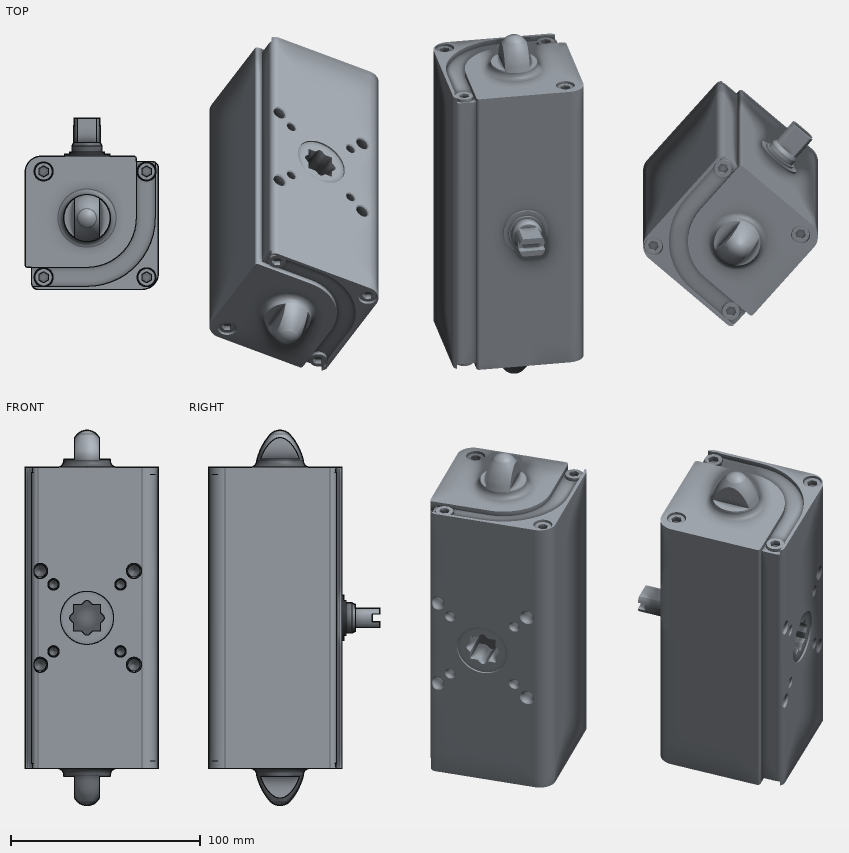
import cadquery as cq
import math

BODY_LENGTH = 159.0
BODY_WIDTH = 70.4
OVERALL_LENGTH = 198.0
SHAFT_PROTRUSION = 20.0
MAIN_REACH = 32.7
ARC_RADIUS = 26.0
GROOVE_RADIUS = 36.0
GROOVE_DEPTH = 2.8
FLANGE_INSET_X = 3.4
FLANGE_INSET_Y = 2.8
CORNER_RADIUS = 8.7
FLANGE_CORNER = 3.5
MAIN_CORNER = 1.4

HALF_LENGTH = BODY_LENGTH / 2
FLANGE_REACH = BODY_WIDTH - MAIN_REACH

SCREW_X = (-22.9, 31.4)
SCREW_Y = (-31.2, 24.6)
POCKET_DIAMETER = 10.0
POCKET_DEPTH = 4.0
HEAD_DIAMETER = 9.2
HEAD_DROP = 1.2
HEX_FLATS = 5.0
HEX_DEPTH = 3.0

DOME_FLARE_RADIUS = 15.3
DOME_RADIUS = 12.4
FLARE_HEIGHT = 3.4
FLARE_ARC = 3.2
FLAT_FLOOR = 4.2
FLAT_HALF_WIDTH = 6.6
DOME_HEIGHT = (OVERALL_LENGTH - BODY_LENGTH) / 2
CAP_RADIUS = 5.0
CAP_HEIGHT = 2.0
DOME_SIDE_POINT = (8.8, 12.3)

MOUNT_PATTERNS = [
    (50.0, 4.92, 6.0, 10.0),
    (70.0, 6.65, 8.0, 12.0),
]
DRILL_POINT_ANGLE = 118.0

JOURNAL_DIAMETER = 28.0
JOURNAL_RECESS = 1.0
COLLAR_DIAMETER = 24.0
COLLAR_HEIGHT = 1.0
COLLAR_DEPTH = 6.0
SHOULDER_DIAMETER = 18.4
SHOULDER_TOP = 2.1
NECK_DIAMETER = 16.0
NECK_TOP = 5.2
NECK_CONE_TOP = 7.1
STUB_DIAMETER = 14.2
STUB_FLATS = 10.2
SLOT_WIDTH = 4.0
SLOT_DEPTH = 4.0
STAR_SQUARE = 14.0
STAR_TIP_RADIUS = 1.8
STAR_DEPTH = 16.0

JOURNAL_TOP = MAIN_REACH - COLLAR_DEPTH


def prism(x_min, x_max, y_min, y_max):
    """Box over the full body length, centred on Z."""
    return (
        cq.Workplane("XY", origin=(0, 0, -HALF_LENGTH))
        .moveTo((x_min + x_max) / 2, (y_min + y_max) / 2)
        .rect(x_max - x_min, y_max - y_min)
        .extrude(BODY_LENGTH)
    )


def rounded_main():
    """Square main block on the -X and +Y sides, with rounded long edges."""
    main = prism(-MAIN_REACH, ARC_RADIUS, -ARC_RADIUS, MAIN_REACH)
    main = main.edges("|Z").edges("<(1,-1,0)").fillet(CORNER_RADIUS)
    for corner in ("<(1,1,0)", ">(1,1,0)"):
        main = main.edges("|Z").edges(corner).fillet(MAIN_CORNER)
    return main


def rounded_flange():
    """Offset block on the +X and -Y sides, with rounded long edges."""
    flange = prism(
        FLANGE_INSET_X - MAIN_REACH,
        FLANGE_REACH,
        -FLANGE_REACH,
        MAIN_REACH - FLANGE_INSET_Y,
    )
    flange = flange.edges("|Z").edges(">(1,-1,0)").fillet(CORNER_RADIUS)
    for corner in ("<(1,1,0)", ">(1,1,0)"):
        flange = flange.edges("|Z").edges(corner).fillet(FLANGE_CORNER)
    return flange


def quarter_block(radius, height):
    """Block open to -X and +Y whose +X/-Y corner is an arc about the piston axis."""
    far = BODY_WIDTH
    return (
        cq.Workplane("XY")
        .moveTo(-far, far)
        .lineTo(radius, far)
        .lineTo(radius, 0)
        .radiusArc((0, -radius), radius)
        .lineTo(-far, -radius)
        .close()
        .extrude(height)
    )


def end_groove():
    """Groove in the +Z end face, between the raised face and the flange rim."""
    groove = quarter_block(GROOVE_RADIUS, GROOVE_DEPTH).cut(quarter_block(ARC_RADIUS, GROOVE_DEPTH))
    return groove.translate((0, 0, HALF_LENGTH - GROOVE_DEPTH))


def screw_places(height):
    """Workplane at a Z height with a point on each of the four screw axes."""
    points = [(x, y) for x in SCREW_X for y in SCREW_Y]
    return cq.Workplane("XY", origin=(0, 0, height)).pushPoints(points)


def dome():
    """Dome on the +Z end face with a flared foot and two side flats."""
    cap_base = DOME_HEIGHT - CAP_HEIGHT
    cap_sphere = (CAP_RADIUS**2 + CAP_HEIGHT**2) / (2 * CAP_HEIGHT)
    profile = (
        cq.Workplane("XZ")
        .lineTo(DOME_FLARE_RADIUS, 0)
        .radiusArc((DOME_RADIUS, FLARE_HEIGHT), FLARE_ARC)
        .threePointArc(DOME_SIDE_POINT, (CAP_RADIUS, cap_base))
        .radiusArc((0, DOME_HEIGHT), -cap_sphere)
        .close()
    )
    solid = profile.revolve(360, (0, 0), (0, 1))
    for side in (-1, 1):
        flat = cq.Workplane("XY").box(
            DOME_RADIUS, 2 * DOME_RADIUS, DOME_HEIGHT, centered=(True, True, False)
        )
        solid = solid.cut(flat.translate((side * (FLAT_HALF_WIDTH + DOME_RADIUS / 2), 0, FLAT_FLOOR)))
    return solid.translate((0, 0, HALF_LENGTH))


def finish_end(body):
    """Groove, four recessed socket screws and the dome on the +Z end."""
    head_top = HALF_LENGTH - HEAD_DROP
    body = body.cut(end_groove())
    body = body.cut(screw_places(HALF_LENGTH).circle(POCKET_DIAMETER / 2).extrude(-POCKET_DEPTH))
    body = body.union(
        screw_places(HALF_LENGTH - POCKET_DEPTH).circle(HEAD_DIAMETER / 2).extrude(POCKET_DEPTH - HEAD_DROP)
    )
    body = body.cut(screw_places(head_top).polygon(6, HEX_FLATS, circumscribed=True).extrude(-HEX_DEPTH))
    return body.union(dome())


def mounting_hole(bore, countersink, depth):
    """Countersunk drilled hole, entering at the origin and running along +Z."""
    radius = bore / 2
    sink = countersink / 2
    point = radius / math.tan(math.radians(DRILL_POINT_ANGLE / 2))
    return (
        cq.Workplane("XZ")
        .polyline([(0, 0), (sink, 0), (radius, sink - radius), (radius, depth), (0, depth + point)])
        .close()
        .revolve(360, (0, 0), (0, 1))
    )


def cut_mounting_holes(body):
    """Two square patterns of four holes around the shaft socket."""
    for circle, bore, countersink, depth in MOUNT_PATTERNS:
        offset = circle / 2 * math.sqrt(0.5)
        hole = mounting_hole(bore, countersink, depth).rotate((0, 0, 0), (1, 0, 0), -90)
        for x in (-offset, offset):
            for z in (-offset, offset):
                body = body.cut(hole.translate((x, -FLANGE_REACH, z)))
    return body


def y_cylinder(diameter, start, end):
    """Cylinder on the shaft axis between two Y positions."""
    return cq.Workplane("XZ", origin=(0, start, 0)).circle(diameter / 2).extrude(start - end)


def build_housing():
    """Body with both ends finished, mounting holes and the stepped shaft bore."""
    body = rounded_main().union(rounded_flange())
    body = finish_end(body)
    body = finish_end(body.mirror("XY")).mirror("XY")
    body = cut_mounting_holes(body)
    body = body.cut(y_cylinder(JOURNAL_DIAMETER, -FLANGE_REACH, JOURNAL_TOP))
    return body.cut(y_cylinder(COLLAR_DIAMETER, JOURNAL_TOP, MAIN_REACH))


def star_socket():
    """Eight-pointed socket: a square and a second one at 45 degrees with rounded tips."""
    start = -FLANGE_REACH
    end = start + JOURNAL_RECESS + STAR_DEPTH
    square = cq.Workplane("XZ", origin=(0, start, 0)).rect(STAR_SQUARE, STAR_SQUARE).extrude(start - end)
    turned = square.edges("|Y").fillet(STAR_TIP_RADIUS).rotate((0, 0, 0), (0, 1, 0), 45)
    return square.union(turned)


def stub():
    """Flatted and slotted end of the shaft."""
    end = MAIN_REACH + SHAFT_PROTRUSION
    start = MAIN_REACH + NECK_CONE_TOP
    flats = cq.Workplane("XY").box(STUB_DIAMETER, 4 * SHAFT_PROTRUSION, STUB_FLATS)
    slot = cq.Workplane("XY").box(STUB_DIAMETER, 2 * SLOT_DEPTH, SLOT_WIDTH)
    blank = y_cylinder(STUB_DIAMETER, start, end).intersect(flats.translate((0, end, 0)))
    return blank.cut(slot.translate((0, end, 0)))


def build_shaft():
    """Stepped shaft with a star socket at -Y and a slotted stub at +Y."""
    profile = [
        (0, JOURNAL_RECESS - FLANGE_REACH),
        (JOURNAL_DIAMETER / 2, JOURNAL_RECESS - FLANGE_REACH),
        (JOURNAL_DIAMETER / 2, JOURNAL_TOP),
        (COLLAR_DIAMETER / 2, JOURNAL_TOP),
        (COLLAR_DIAMETER / 2, MAIN_REACH + COLLAR_HEIGHT),
        (SHOULDER_DIAMETER / 2, MAIN_REACH + COLLAR_HEIGHT),
        (SHOULDER_DIAMETER / 2, MAIN_REACH + SHOULDER_TOP),
        (NECK_DIAMETER / 2, MAIN_REACH + SHOULDER_TOP),
        (NECK_DIAMETER / 2, MAIN_REACH + NECK_TOP),
        (STUB_DIAMETER / 2, MAIN_REACH + NECK_CONE_TOP),
        (0, MAIN_REACH + NECK_CONE_TOP),
    ]
    turned = cq.Workplane("XY").polyline(profile).close().revolve(360, (0, 0), (0, 1))
    return turned.union(stub()).cut(star_socket())


housing = build_housing()
shaft = build_shaft()
result = cq.Compound.makeCompound([housing.val(), shaft.val()])